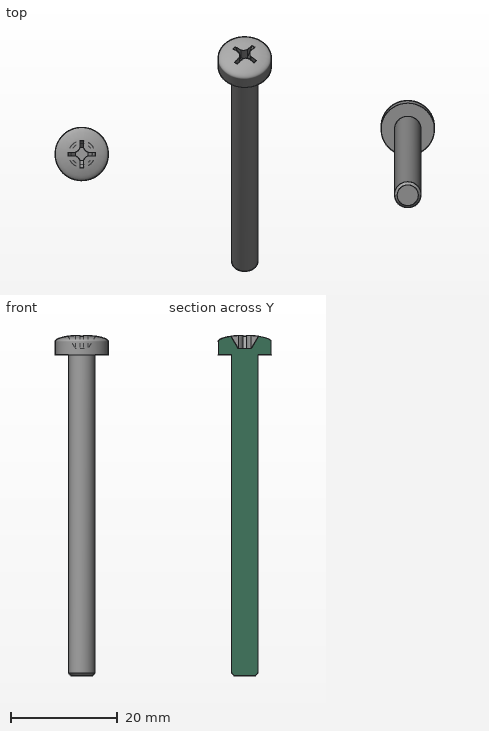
import cadquery as cq

total_length = 63.8
head_diameter = 10.0
shank_diameter = 5.0

head_height = 3.7
head_side_height = 2.5

tip_chamfer = 0.5

recess_depth = 2.5
wing_width = 0.65
wing_top_reach = 2.7
wing_floor_reach = 1.2
core_scallop = 0.095

head_radius = head_diameter / 2
shank_radius = shank_diameter / 2
head_bottom = total_length - head_height
dome_base = head_bottom + head_side_height
dome_height = head_height - head_side_height
recess_floor = total_length - recess_depth


def make_body():
    """Revolve the shank and the head, whose dome is a quarter ellipse in profile."""
    return (
        cq.Workplane("XZ")
        .lineTo(shank_radius - tip_chamfer, 0)
        .lineTo(shank_radius, tip_chamfer)
        .lineTo(shank_radius, head_bottom)
        .lineTo(head_radius, head_bottom)
        .lineTo(head_radius, dome_base)
        .ellipseArc(head_radius, dome_height, 0, 90, startAtCurrent=True)
        .close()
        .revolve(360, (0, 0, 0), (0, 1, 0))
    )


def make_wings(plane):
    """One pair of opposite wings, tapering inward from the dome to the floor."""
    return (
        cq.Workplane(plane)
        .moveTo(-wing_top_reach, total_length)
        .lineTo(-wing_floor_reach, recess_floor)
        .lineTo(wing_floor_reach, recess_floor)
        .lineTo(wing_top_reach, total_length)
        .close()
        .extrude(wing_width / 2, both=True)
    )


def make_core():
    """Straight-walled recess centre with a shallow scallop between the wings."""
    near = wing_width / 2
    far = wing_floor_reach
    scallop = (near + far) / 2 - core_scallop
    core = cq.Workplane("XY", origin=(0, 0, recess_floor)).moveTo(far, near)
    core = core.threePointArc((scallop, scallop), (near, far)).lineTo(-near, far)
    core = core.threePointArc((-scallop, scallop), (-far, near)).lineTo(-far, -near)
    core = core.threePointArc((-scallop, -scallop), (-near, -far)).lineTo(near, -far)
    core = core.threePointArc((scallop, -scallop), (far, -near)).close()
    return core.extrude(recess_depth)


result = make_body().cut(make_core()).cut(make_wings("XZ")).cut(make_wings("YZ"))